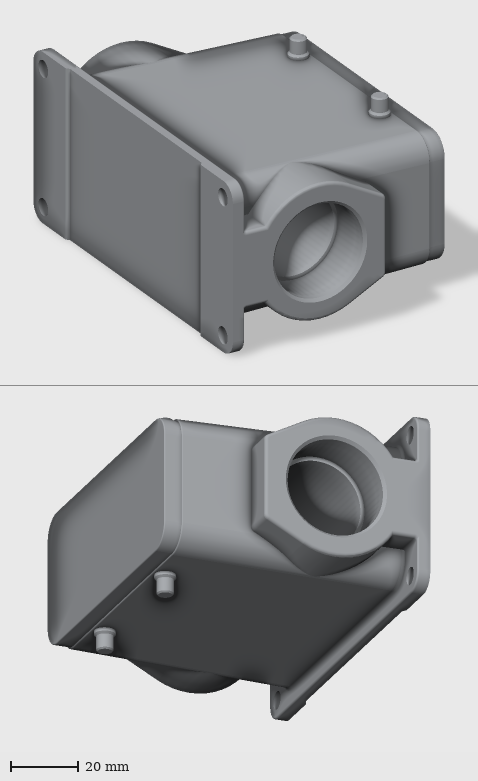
import cadquery as cq
import math


FLANGE_LENGTH = 117.0
FLANGE_HEIGHT = 56.0
FLANGE_THICKNESS = 4.1
FLANGE_CORNER_RADIUS = 5.4
FLANGE_EDGE_FILLET = 0.6
SCREW_HOLE_DIAMETER = 5.6
SCREW_SPACING_X = 105.3
SCREW_SPACING_Z = 45.2
RELIEF_DEPTH = 0.9
RELIEF_FLOOR_WIDTH = 77.0
RELIEF_MOUTH_WIDTH = 79.3

TOTAL_DEPTH = 80.3
LIP_DEPTH = 5.4
BODY_WIDTH = 93.5
BODY_HEIGHT = 43.0
BODY_CORNER_RADIUS = 7.6
DRAFT_ANGLE = 1.0
ROOT_FILLET = 0.8
LIP_STEP = 0.5
BODY_END_FILLET = 0.4
LIP_EDGE_FILLET = 0.4

BORE_Y = 30.1
BOSS_RADIUS = 22.2
BOSS_FRONT_Y = 52.9
BOSS_FRONT_HALF_HEIGHT = 13.1
NECK_HALF_HEIGHT = 12.4
BOSS_EDGE_FILLET = 1.0
BOSS_FRONT_FILLET = 1.8
BORE_DIAMETER = 28.0
COUNTERBORE_DIAMETER = 30.5
COUNTERBORE_DEPTH = 15.6
BORE_CHAMFER = 0.9

PIN_SPACING_X = 47.7
PIN_Y = 70.9
PIN_DIAMETER = 5.3
PIN_CHAMFER = 0.5
COLLAR_DIAMETER = 6.5
COLLAR_TOP_Z = 23.3

BODY_END_Y = TOTAL_DEPTH - LIP_DEPTH
HALF_LENGTH = FLANGE_LENGTH / 2
HALF_HEIGHT = FLANGE_HEIGHT / 2


def plane_at_y(y):
    """Workplane at height y that faces +Y, with its local x along +X."""
    return cq.Workplane(cq.Plane(origin=(0, y, 0), xDir=(1, 0, 0), normal=(0, 1, 0)))


def make_flange():
    flange = plane_at_y(0).rect(FLANGE_LENGTH, FLANGE_HEIGHT).extrude(FLANGE_THICKNESS)
    flange = flange.edges("|Y").fillet(FLANGE_CORNER_RADIUS)
    return flange.faces(">Y").edges().fillet(FLANGE_EDGE_FILLET)


def make_body():
    """Rounded block that narrows from the flange towards the lip."""
    taper_gain = 2 * BODY_END_Y * math.tan(math.radians(DRAFT_ANGLE))
    body = (
        plane_at_y(0)
        .rect(BODY_WIDTH + taper_gain, BODY_HEIGHT + taper_gain)
        .extrude(BODY_END_Y, taper=DRAFT_ANGLE)
    )
    body = body.edges("not (#Y)").fillet(BODY_CORNER_RADIUS)
    return body.faces(">Y").edges().fillet(BODY_END_FILLET)


def make_lip():
    lip = (
        plane_at_y(BODY_END_Y)
        .rect(BODY_WIDTH - 2 * LIP_STEP, BODY_HEIGHT - 2 * LIP_STEP)
        .extrude(LIP_DEPTH)
    )
    lip = lip.edges("|Y").fillet(BODY_CORNER_RADIUS - LIP_STEP)
    return lip.faces(">Y").edges().fillet(LIP_EDGE_FILLET)


def make_left_boss():
    """Boss whose round flanks run tangent to a flat front and down a neck to the flange."""
    corner_y = BOSS_FRONT_Y - BORE_Y
    corner_distance = math.hypot(corner_y, BOSS_FRONT_HALF_HEIGHT)
    tangent_angle = math.atan2(BOSS_FRONT_HALF_HEIGHT, corner_y) + math.acos(BOSS_RADIUS / corner_distance)
    tangent_y = BORE_Y + BOSS_RADIUS * math.cos(tangent_angle)
    tangent_z = BOSS_RADIUS * math.sin(tangent_angle)
    neck_y = BORE_Y - math.sqrt(BOSS_RADIUS**2 - NECK_HALF_HEIGHT**2)
    root_y = FLANGE_THICKNESS + ROOT_FILLET
    root_z = NECK_HALF_HEIGHT + ROOT_FILLET
    boss_length = HALF_LENGTH - BODY_WIDTH / 2 + BODY_CORNER_RADIUS

    boss = (
        cq.Workplane("YZ", origin=(-HALF_LENGTH, 0, 0))
        .moveTo(0, -root_z)
        .lineTo(FLANGE_THICKNESS, -root_z)
        .radiusArc((root_y, -NECK_HALF_HEIGHT), ROOT_FILLET)
        .lineTo(neck_y, -NECK_HALF_HEIGHT)
        .threePointArc((BORE_Y, -BOSS_RADIUS), (tangent_y, -tangent_z))
        .lineTo(BOSS_FRONT_Y, -BOSS_FRONT_HALF_HEIGHT)
        .lineTo(BOSS_FRONT_Y, BOSS_FRONT_HALF_HEIGHT)
        .lineTo(tangent_y, tangent_z)
        .threePointArc((BORE_Y, BOSS_RADIUS), (neck_y, NECK_HALF_HEIGHT))
        .lineTo(root_y, NECK_HALF_HEIGHT)
        .radiusArc((FLANGE_THICKNESS, root_z), ROOT_FILLET)
        .lineTo(0, root_z)
        .close()
        .extrude(boss_length)
    )
    boss = boss.faces(">Y").edges("|X").fillet(BOSS_FRONT_FILLET)
    return boss.faces("<X").edges("not <Y").fillet(BOSS_EDGE_FILLET)


def bore_cutter():
    """Through bore along X with a chamfered counterbore at each end."""
    bore_radius = BORE_DIAMETER / 2
    counterbore_radius = COUNTERBORE_DIAMETER / 2
    mouth_radius = counterbore_radius + BORE_CHAMFER
    step_x = HALF_LENGTH - COUNTERBORE_DEPTH
    half_profile = [
        (HALF_LENGTH, mouth_radius),
        (HALF_LENGTH - BORE_CHAMFER, counterbore_radius),
        (step_x, counterbore_radius),
        (step_x, bore_radius),
    ]
    mirrored_profile = [(-x, radius) for x, radius in reversed(half_profile)]
    outline = [(HALF_LENGTH, 0)] + half_profile + mirrored_profile + [(-HALF_LENGTH, 0)]
    cutter = cq.Workplane("XY").polyline(outline).close().revolve(360, (0, 0, 0), (1, 0, 0))
    return cutter.translate((0, BORE_Y, 0))


def relief_cutter():
    """Shallow channel with sloped sides across the mounting face."""
    return (
        cq.Workplane("XY")
        .moveTo(-RELIEF_MOUTH_WIDTH / 2, 0)
        .lineTo(-RELIEF_FLOOR_WIDTH / 2, RELIEF_DEPTH)
        .lineTo(RELIEF_FLOOR_WIDTH / 2, RELIEF_DEPTH)
        .lineTo(RELIEF_MOUTH_WIDTH / 2, 0)
        .close()
        .extrude(HALF_HEIGHT, both=True)
    )


def screw_hole_cutter():
    return (
        plane_at_y(0)
        .rect(SCREW_SPACING_X, SCREW_SPACING_Z, forConstruction=True)
        .vertices()
        .circle(SCREW_HOLE_DIAMETER / 2)
        .extrude(FLANGE_THICKNESS)
    )


def make_housing():
    housing = make_flange().union(make_body())
    flange_face = housing.faces(cq.selectors.NearestToPointSelector((0, FLANGE_THICKNESS, 0)))
    housing = housing.newObject(flange_face.val().innerWires()).edges().fillet(ROOT_FILLET)
    left_boss = make_left_boss()
    housing = housing.union(make_lip()).union(left_boss).union(left_boss.mirror("YZ"))
    return housing.cut(bore_cutter()).cut(relief_cutter()).cut(screw_hole_cutter())


def make_top_pin(x, housing):
    """Collared pin whose foot follows the sloped top of the housing."""
    pin_radius = PIN_DIAMETER / 2
    collar_radius = COLLAR_DIAMETER / 2
    foot_z = BODY_HEIGHT / 2
    pin = (
        cq.Workplane("XZ")
        .moveTo(0, foot_z)
        .lineTo(collar_radius, foot_z)
        .lineTo(collar_radius, COLLAR_TOP_Z - (collar_radius - pin_radius))
        .lineTo(pin_radius, COLLAR_TOP_Z)
        .lineTo(pin_radius, HALF_HEIGHT - PIN_CHAMFER)
        .lineTo(pin_radius - PIN_CHAMFER, HALF_HEIGHT)
        .lineTo(0, HALF_HEIGHT)
        .close()
        .revolve(360, (0, 0, 0), (0, 1, 0))
    )
    return pin.translate((x, PIN_Y, 0)).cut(housing)


housing = make_housing()
pins = []
for x in (-PIN_SPACING_X / 2, PIN_SPACING_X / 2):
    top_pin = make_top_pin(x, housing)
    pins += [top_pin.val(), top_pin.mirror("XY").val()]

result = cq.Compound.makeCompound([housing.val(), *pins])